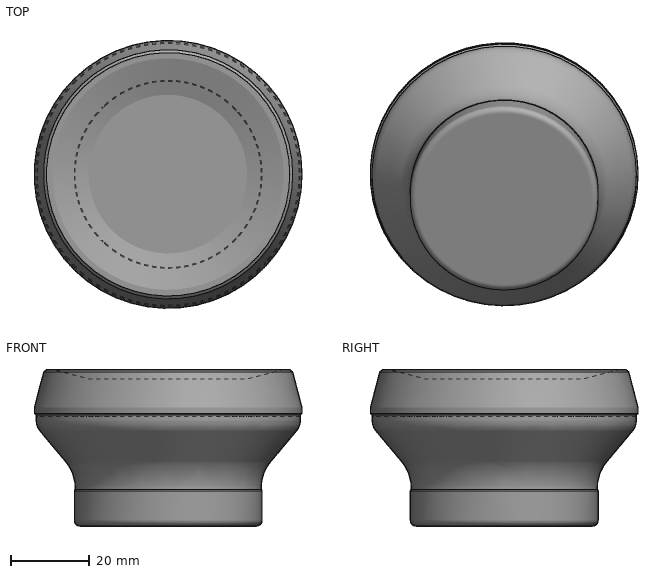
import cadquery as cq
import math

total_height = 40.0
cap_bottom_height = 28.0
cap_radius = 34.2
body_radius = 67.5 / 2
neck_radius = 47.6 / 2
foot_radius = 48.0 / 2

foot_edge_radius = 1.6
foot_top_height = 9.0
foot_step_height = 0.4
neck_arc_start = 10.0
neck_arc_radius = 10.0
shoulder_arc_end = 26.9
shoulder_arc_radius = 3.95
flare_angle = math.radians(40)

band_edge_chamfer = 0.75
band_top_height = 30.2
taper_top_radius = 31.8
rim_outer_radius = 31.05
rim_edge_height = 0.6
dish_rim_radius = 29.5
dish_floor_radius = 20.25
dish_depth = 2.4

seat_radius = cap_radius - band_edge_chamfer
seat_rim_height = cap_bottom_height + body_radius - seat_radius


def arc_point(center, radius, angle):
    """Point on an arc; the angle is measured from the +X direction."""
    return (center[0] + radius * math.cos(angle), center[1] + radius * math.sin(angle))


def make_body():
    """Turned lower body with a concave neck that flares into a rounded shoulder, with a seat on top."""
    neck_center = (neck_radius + neck_arc_radius, neck_arc_start)
    neck_mid = arc_point(neck_center, neck_arc_radius, math.pi - flare_angle / 2)
    neck_end = arc_point(neck_center, neck_arc_radius, math.pi - flare_angle)
    shoulder_center = (body_radius - shoulder_arc_radius, shoulder_arc_end)
    shoulder_start = arc_point(shoulder_center, shoulder_arc_radius, -flare_angle)
    shoulder_mid = arc_point(shoulder_center, shoulder_arc_radius, -flare_angle / 2)
    foot_center = (foot_radius - foot_edge_radius, foot_edge_radius)
    foot_mid = arc_point(foot_center, foot_edge_radius, -math.pi / 4)
    return (
        cq.Workplane("XZ")
        .moveTo(0, 0)
        .lineTo(foot_center[0], 0)
        .threePointArc(foot_mid, (foot_radius, foot_edge_radius))
        .lineTo(foot_radius, foot_top_height)
        .lineTo(neck_radius, foot_top_height + foot_step_height)
        .lineTo(neck_radius, neck_arc_start)
        .threePointArc(neck_mid, neck_end)
        .lineTo(*shoulder_start)
        .threePointArc(shoulder_mid, (body_radius, shoulder_arc_end))
        .lineTo(body_radius, seat_rim_height)
        .lineTo(seat_radius, cap_bottom_height)
        .lineTo(0, cap_bottom_height)
        .close()
        .revolve(360, (0, 0, 0), (0, 1, 0))
    )


def make_cap():
    """Turned cap with a tapered side and a shallow dished top."""
    dish_floor_height = total_height - dish_depth
    return (
        cq.Workplane("XZ")
        .moveTo(0, cap_bottom_height)
        .lineTo(seat_radius, cap_bottom_height)
        .lineTo(cap_radius, cap_bottom_height + band_edge_chamfer)
        .lineTo(cap_radius, band_top_height)
        .lineTo(taper_top_radius, total_height - rim_edge_height)
        .lineTo(rim_outer_radius, total_height)
        .lineTo(dish_rim_radius, total_height)
        .lineTo(dish_floor_radius, dish_floor_height)
        .lineTo(0, dish_floor_height)
        .close()
        .revolve(360, (0, 0, 0), (0, 1, 0))
    )


body = make_body()
cap = make_cap()
result = cq.Compound.makeCompound([body.val(), cap.val()])